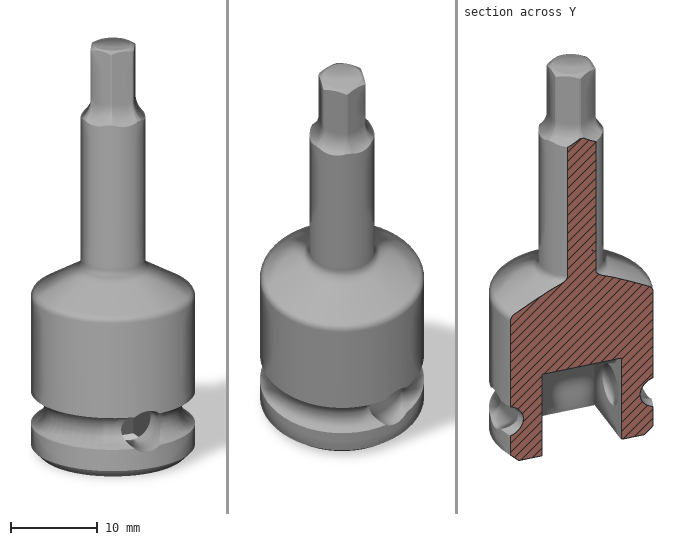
import cadquery as cq
import math

total_height = 50.0
body_radius = 9.5
base_chamfer = 1.0

groove_height = 5.55
groove_arc_radius = 2.0
groove_depth = 1.5
pin_hole_diameter = 5.0

drive_across_flats = 9.8
drive_depth = 11.0

shank_radius = 3.75
shoulder_height = 19.7
shoulder_slope = math.radians(30)
shoulder_blend_radius = 1.0

hex_across_flats = 5.0
hex_across_corners = 5.65
hex_corner_radius = hex_across_corners / 2
hex_base_height = 43.5
hex_blend_radius = 3.0
tip_face_radius = 2.25
tip_chamfer_slope = math.radians(30)


def blend_start(radius):
    """Height where the concave blend, rising from `radius` outwards, meets the shank surface."""
    outward = shank_radius - radius
    return hex_base_height - math.sqrt(hex_blend_radius**2 - (hex_blend_radius - outward) ** 2)


def make_body():
    """Revolve the base, shoulder, shank and the rounded corners of the tip."""
    groove_center_radius = body_radius - groove_depth + groove_arc_radius
    groove_half_width = math.sqrt(groove_arc_radius**2 - (groove_center_radius - body_radius) ** 2)
    neck_height = shoulder_height + (body_radius - shank_radius) * math.tan(shoulder_slope)
    tip_chamfer_height = (hex_corner_radius - tip_face_radius) * math.tan(tip_chamfer_slope)
    corner_blend_start = blend_start(hex_corner_radius)
    half_turn = math.asin((hex_base_height - corner_blend_start) / hex_blend_radius) / 2
    blend_middle = (
        hex_corner_radius + hex_blend_radius * (1 - math.cos(half_turn)),
        hex_base_height - hex_blend_radius * math.sin(half_turn),
    )

    setback = shoulder_blend_radius * math.tan((math.pi / 2 - shoulder_slope) / 2)
    setback_x = setback * math.cos(shoulder_slope)
    setback_z = setback * math.sin(shoulder_slope)

    return (
        cq.Workplane("XZ")
        .moveTo(0, 0)
        .lineTo(body_radius - base_chamfer, 0)
        .lineTo(body_radius, base_chamfer)
        .lineTo(body_radius, groove_height - groove_half_width)
        .threePointArc(
            (body_radius - groove_depth, groove_height),
            (body_radius, groove_height + groove_half_width),
        )
        .lineTo(body_radius, shoulder_height - setback)
        .tangentArcPoint((body_radius - setback_x, shoulder_height + setback_z), relative=False)
        .lineTo(shank_radius + setback_x, neck_height - setback_z)
        .tangentArcPoint((shank_radius, neck_height + setback), relative=False)
        .lineTo(shank_radius, corner_blend_start)
        .threePointArc(blend_middle, (hex_corner_radius, hex_base_height))
        .lineTo(hex_corner_radius, total_height - tip_chamfer_height)
        .lineTo(tip_face_radius, total_height)
        .lineTo(0, total_height)
        .close()
        .revolve(360, (0, 0), (0, 1))
    )


def make_flat_cutter():
    """Prism that cuts one hexagon flat and its concave run-out into the shank."""
    flat_distance = hex_across_flats / 2
    arc_end = (flat_distance + hex_blend_radius, hex_base_height - hex_blend_radius)
    arc_middle = (
        flat_distance + hex_blend_radius * (1 - math.sqrt(0.5)),
        hex_base_height - hex_blend_radius * math.sqrt(0.5),
    )
    return (
        cq.Workplane("XZ")
        .moveTo(flat_distance, total_height)
        .lineTo(flat_distance, hex_base_height)
        .threePointArc(arc_middle, arc_end)
        .lineTo(arc_end[0], total_height)
        .close()
        .extrude(shank_radius, both=True)
    )


def make_pin_hole():
    """Cross hole running right through the body along X."""
    return (
        cq.Workplane("YZ")
        .center(0, groove_height)
        .circle(pin_hole_diameter / 2)
        .extrude(body_radius, both=True)
    )


def make_drive_socket():
    """Square recess in the base, crossed by the pin hole."""
    return cq.Workplane("XY").rect(drive_across_flats, drive_across_flats).extrude(drive_depth)


result = make_body().cut(make_pin_hole()).cut(make_drive_socket())
flat_cutter = make_flat_cutter()
for flat in range(6):
    result = result.cut(flat_cutter.rotate((0, 0, 0), (0, 0, 1), 60 * flat))